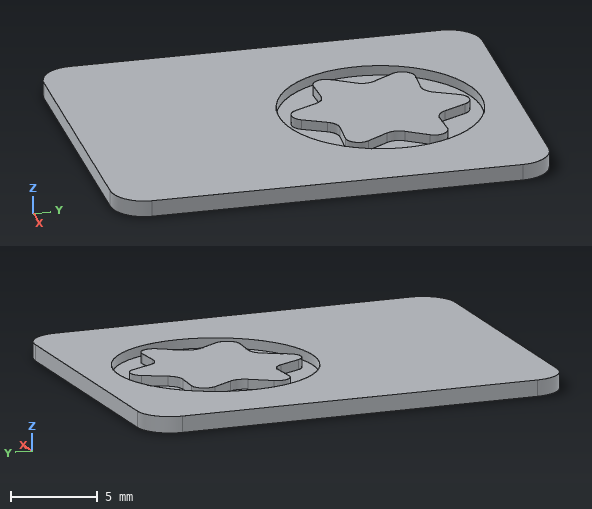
import cadquery as cq
import math

LENGTH = 26.0
WIDTH = 20.0
THICKNESS = 1.0
CORNER_RADIUS = 2.0

POCKET_DIAMETER = 12.0
POCKET_DEPTH = 0.6
POCKET_CENTRE_Y = 5.0

LOBES = 6
TIP_DISTANCE = 5.28
VALLEY_DISTANCE = 3.55
TIP_RADIUS = 0.78
VALLEY_RADIUS = 1.0


def polar(distance, angle):
    """Point at a distance from the star centre, angle in radians."""
    return (distance * math.cos(angle), distance * math.sin(angle))


def flank_ends():
    """Polar form of the tangent points between the lobe along angle 0 and the next valley."""
    tip_x = TIP_DISTANCE - TIP_RADIUS
    valley_x, valley_y = polar(VALLEY_DISTANCE + VALLEY_RADIUS, math.pi / LOBES)
    span = math.hypot(valley_x - tip_x, valley_y)
    normal = math.atan2(valley_y, valley_x - tip_x) - math.acos((TIP_RADIUS + VALLEY_RADIUS) / span)
    tip_end = (tip_x + TIP_RADIUS * math.cos(normal), TIP_RADIUS * math.sin(normal))
    valley_end = (
        valley_x - VALLEY_RADIUS * math.cos(normal),
        valley_y - VALLEY_RADIUS * math.sin(normal),
    )
    return [(math.hypot(x, y), math.atan2(y, x)) for x, y in (tip_end, valley_end)]


def make_star():
    """Star with round tips and valleys joined by straight flanks, one lobe pointing along +Y."""
    pitch = 2 * math.pi / LOBES
    (tip_end, tip_angle), (valley_end, valley_angle) = flank_ends()
    first_lobe = math.pi / 2
    outline = cq.Workplane("XY").moveTo(*polar(tip_end, first_lobe - tip_angle))
    for index in range(LOBES):
        lobe = first_lobe + index * pitch
        outline = (
            outline
            .threePointArc(polar(TIP_DISTANCE, lobe), polar(tip_end, lobe + tip_angle))
            .lineTo(*polar(valley_end, lobe + valley_angle))
            .threePointArc(
                polar(VALLEY_DISTANCE, lobe + pitch / 2),
                polar(valley_end, lobe + pitch - valley_angle),
            )
        )
        if index < LOBES - 1:
            outline = outline.lineTo(*polar(tip_end, lobe + pitch - tip_angle))
    return outline.close().extrude(POCKET_DEPTH)


def make_plate():
    """Flat plate with rounded corners, its underside on Z = 0."""
    plate = cq.Workplane("XY").box(WIDTH, LENGTH, THICKNESS, centered=(True, True, False))
    return plate.edges("|Z").fillet(CORNER_RADIUS)


def make_pocket():
    """Ring-shaped cut that leaves the star flush with the top face."""
    disc = cq.Workplane("XY").circle(POCKET_DIAMETER / 2).extrude(POCKET_DEPTH)
    return disc.cut(make_star()).translate((0, POCKET_CENTRE_Y, THICKNESS - POCKET_DEPTH))


result = make_plate().cut(make_pocket())